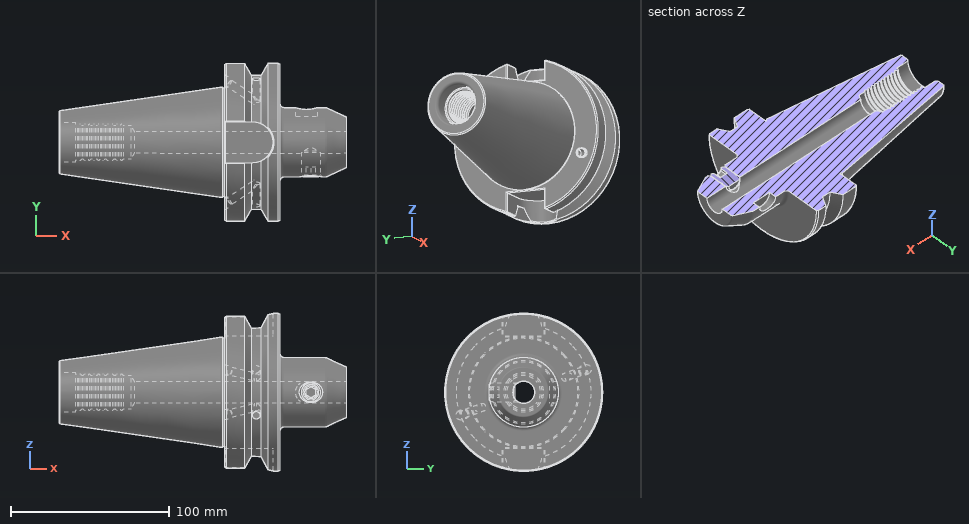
import cadquery as cq
import math

EDGE_SEARCH = 0.9

TOTAL_LENGTH = 181.8
GAUGE_X = 102.4
GAUGE_RADIUS = 34.9
TAPER_SLOPE = 7 / 24 / 2
TAPER_END_RADIUS = GAUGE_RADIUS - GAUGE_X * TAPER_SLOPE
TAPER_END_CHAMFER = 0.7
COLLAR_LENGTH = 1.0
RELIEF_DEPTH = 0.7

FLANGE_START = 104.7
FLANGE_END = 139.8
FLANGE_RADIUS = 50.0
FLANGE_EDGE_LENGTH = 1.3
FLANGE_EDGE_DEPTH = 0.7
GROOVE_X = 124.7
GROOVE_WIDTH = 6.2
GROOVE_RADIUS = 42.5
FLANK_ANGLE = 30
FLANK_LENGTH = (FLANGE_RADIUS - GROOVE_RADIUS) * math.tan(math.radians(FLANK_ANGLE))

NOSE_RADIUS = 22.0
NOSE_ROOT_FILLET = 2.5
NOSE_CONE_X = 168.9
NOSE_CONE_ANGLE = 25
NOSE_SHOULDER_FILLET = 2.7
NOSE_EDGE_FILLET = 1.0
NOSE_TIP_RADIUS = NOSE_RADIUS - (TOTAL_LENGTH - NOSE_CONE_X) * math.tan(math.radians(NOSE_CONE_ANGLE))

BORE_RADIUS = 6.9
PILOT_RADIUS = 12.5
PILOT_DEPTH = 10.5
PILOT_MOUTH_FILLET = 2.2
THREAD_RADIUS = 10.5
THREAD_MOUTH_RADIUS = 11.6
THREAD_END_X = 45.5
THREAD_PITCH = 2.9
THREAD_TURNS = 10
THREAD_GROOVE_WIDTH = 2.2
DRILL_HALF_ANGLE = 59

SLOT_HALF_WIDTH = 12.9
SLOT_FLOOR_Z = 35.5
SLOT_CENTER_X = 122.4
SLOT_CHAMFER = 0.64

COOLANT_ANGLE = 20
COOLANT_TILT = 35
COOLANT_MOUTH_RADIUS = 41.6
COOLANT_DIAMETER = 6.2
COOLANT_CORE_DIAMETER = 5.0
COOLANT_ENTRY_DEPTH = 3.6
PLUG_HOLE_DIAMETER = 4.9

SCREW_X = 159.3
SCREW_RADIUS = 6.0
SCREW_HEAD_Y = -21.8
SCREW_TIP_Y = -5.5
SCREW_CHAMFER = 1.0
COUNTERSINK_RADIUS = 7.5
SOCKET_FLATS = 6.0
SOCKET_DEPTH = 6.4
SOCKET_MOUTH_RADIUS = 4.0
BALANCE_X = 156.3
BALANCE_RADIUS = 6.9
BALANCE_FLOOR_Y = 16.4


def revolve_profile(outline):
    """Turn a closed (x, radius) outline about the X axis."""
    return outline.close().revolve(360, (0, 0, 0), (1, 0, 0))


def turned_blank():
    """Taper, flange and nose as one turned solid without a bore."""
    collar_end = GAUGE_X + COLLAR_LENGTH
    relief_radius = GAUGE_RADIUS - RELIEF_DEPTH
    edge_radius = FLANGE_RADIUS - FLANGE_EDGE_DEPTH
    groove_start = GROOVE_X - GROOVE_WIDTH / 2
    groove_end = GROOVE_X + GROOVE_WIDTH / 2
    root_radius = NOSE_RADIUS + NOSE_ROOT_FILLET
    arc_reach = NOSE_ROOT_FILLET * (1 - math.sqrt(0.5))
    outline = (
        cq.Workplane("XY")
        .moveTo(0, 0)
        .lineTo(0, TAPER_END_RADIUS - TAPER_END_CHAMFER)
        .lineTo(TAPER_END_CHAMFER, TAPER_END_RADIUS + TAPER_END_CHAMFER * TAPER_SLOPE)
        .lineTo(GAUGE_X, GAUGE_RADIUS)
        .lineTo(collar_end, GAUGE_RADIUS)
        .lineTo(collar_end + RELIEF_DEPTH, relief_radius)
        .lineTo(FLANGE_START, relief_radius)
        .lineTo(FLANGE_START, edge_radius)
        .lineTo(FLANGE_START + FLANGE_EDGE_LENGTH, FLANGE_RADIUS)
        .lineTo(groove_start - FLANK_LENGTH, FLANGE_RADIUS)
        .lineTo(groove_start, GROOVE_RADIUS)
        .lineTo(groove_end, GROOVE_RADIUS)
        .lineTo(groove_end + FLANK_LENGTH, FLANGE_RADIUS)
        .lineTo(FLANGE_END - FLANGE_EDGE_LENGTH, FLANGE_RADIUS)
        .lineTo(FLANGE_END, edge_radius)
        .lineTo(FLANGE_END, root_radius)
        .threePointArc(
            (FLANGE_END + arc_reach, NOSE_RADIUS + arc_reach),
            (FLANGE_END + NOSE_ROOT_FILLET, NOSE_RADIUS),
        )
        .lineTo(NOSE_CONE_X, NOSE_RADIUS)
        .lineTo(TOTAL_LENGTH, NOSE_TIP_RADIUS)
        .lineTo(TOTAL_LENGTH, 0)
    )
    blank = revolve_profile(outline)
    blank = blank.faces(">X").edges().fillet(NOSE_EDGE_FILLET)
    shoulder = cq.selectors.BoxSelector(
        (NOSE_CONE_X - EDGE_SEARCH, -NOSE_RADIUS, -NOSE_RADIUS),
        (NOSE_CONE_X + EDGE_SEARCH, NOSE_RADIUS, NOSE_RADIUS),
    )
    return blank.edges(shoulder).edges("%CIRCLE").fillet(NOSE_SHOULDER_FILLET)


def central_bore():
    """Pilot, tapped length with its drill cone, and the through bore."""
    mouth_radius = PILOT_RADIUS + PILOT_MOUTH_FILLET
    arc_reach = PILOT_MOUTH_FILLET * (1 - math.sqrt(0.5))
    thread_chamfer = THREAD_MOUTH_RADIUS - THREAD_RADIUS
    cone_length = (THREAD_RADIUS - BORE_RADIUS) / math.tan(math.radians(DRILL_HALF_ANGLE))
    outline = (
        cq.Workplane("XY")
        .moveTo(0, 0)
        .lineTo(0, mouth_radius)
        .threePointArc((arc_reach, PILOT_RADIUS + arc_reach), (PILOT_MOUTH_FILLET, PILOT_RADIUS))
        .lineTo(PILOT_DEPTH, PILOT_RADIUS)
        .lineTo(PILOT_DEPTH, THREAD_MOUTH_RADIUS)
        .lineTo(PILOT_DEPTH + thread_chamfer, THREAD_RADIUS)
        .lineTo(THREAD_END_X, THREAD_RADIUS)
        .lineTo(THREAD_END_X + cone_length, BORE_RADIUS)
        .lineTo(TOTAL_LENGTH, BORE_RADIUS)
        .lineTo(TOTAL_LENGTH, 0)
    )
    return revolve_profile(outline)


def thread_grooves():
    """The tapped length as a row of V rings around the thread bore."""
    first_x = PILOT_DEPTH + THREAD_PITCH
    rings = []
    for turn in range(THREAD_TURNS):
        x = first_x + turn * THREAD_PITCH
        outline = (
            cq.Workplane("XY")
            .moveTo(x - THREAD_GROOVE_WIDTH / 2, 0)
            .lineTo(x - THREAD_GROOVE_WIDTH / 2, THREAD_RADIUS)
            .lineTo(x, THREAD_MOUTH_RADIUS)
            .lineTo(x + THREAD_GROOVE_WIDTH / 2, THREAD_RADIUS)
            .lineTo(x + THREAD_GROOVE_WIDTH / 2, 0)
        )
        rings.append(revolve_profile(outline))
    return rings


def drive_slot():
    """Round-ended slot cutter on the +Z side, open towards the taper."""
    return (
        cq.Workplane("XY", origin=(0, 0, SLOT_FLOOR_Z))
        .moveTo(FLANGE_START, -SLOT_HALF_WIDTH)
        .lineTo(SLOT_CENTER_X, -SLOT_HALF_WIDTH)
        .threePointArc((SLOT_CENTER_X + SLOT_HALF_WIDTH, 0), (SLOT_CENTER_X, SLOT_HALF_WIDTH))
        .lineTo(FLANGE_START, SLOT_HALF_WIDTH)
        .close()
        .extrude(FLANGE_RADIUS - SLOT_FLOOR_Z)
    )


def bevel_slot_rims(holder):
    """Bevel the edges where both slots break through the flange's outer surface."""
    slot_end = SLOT_CENTER_X + SLOT_HALF_WIDTH
    rim_z = math.sqrt(FLANGE_RADIUS ** 2 - SLOT_HALF_WIDTH ** 2)
    wall_start = FLANGE_START + FLANGE_EDGE_LENGTH
    wall_end = GROOVE_X - GROOVE_WIDTH / 2 - FLANK_LENGTH
    wall_x = (wall_start + wall_end) / 2
    for side in (1, -1):
        spots = [
            (wall_x, SLOT_HALF_WIDTH, side * rim_z),
            (wall_x, -SLOT_HALF_WIDTH, side * rim_z),
            (slot_end, 0, side * FLANGE_RADIUS),
        ]
        for spot in spots:
            holder = holder.edges(cq.selectors.NearestToPointSelector(spot)).chamfer(SLOT_CHAMFER)
    return holder


def drive_slot_chamfer():
    """Bevel around the mouth of the +Z slot in the flange face."""
    def mouth(offset, grow):
        half_width = SLOT_HALF_WIDTH + grow
        floor = SLOT_FLOOR_Z - grow
        return (
            cq.Workplane("YZ", origin=(FLANGE_START + offset, 0, 0))
            .moveTo(-half_width, floor)
            .lineTo(half_width, floor)
            .lineTo(half_width, FLANGE_RADIUS)
            .lineTo(-half_width, FLANGE_RADIUS)
            .close()
            .wire()
            .val()
        )
    return cq.Workplane(cq.Solid.makeLoft([mouth(0, SLOT_CHAMFER), mouth(SLOT_CHAMFER, 0)], True))


def coolant_passage():
    """Leaning feed hole from the flange face and the radial plug hole that meets it."""
    tilt = math.radians(COOLANT_TILT)
    inward = cq.Vector(math.cos(tilt), -math.sin(tilt), 0)
    meeting_y = COOLANT_MOUTH_RADIUS - (GROOVE_X - FLANGE_START) * math.tan(tilt)
    mouth = cq.Vector(FLANGE_START, COOLANT_MOUTH_RADIUS, 0)
    lead = COOLANT_DIAMETER
    feed_length = (GROOVE_X - FLANGE_START) / math.cos(tilt)
    entry = cq.Solid.makeCylinder(
        COOLANT_DIAMETER / 2, COOLANT_ENTRY_DEPTH + lead, mouth - inward * lead, inward
    )
    feed = cq.Solid.makeCylinder(COOLANT_CORE_DIAMETER / 2, feed_length, mouth, inward)
    plug = cq.Solid.makeCylinder(
        PLUG_HOLE_DIAMETER / 2,
        FLANGE_RADIUS - meeting_y,
        cq.Vector(GROOVE_X, meeting_y, 0),
        cq.Vector(0, 1, 0),
    )
    passage = cq.Workplane(entry).union(cq.Workplane(feed)).union(cq.Workplane(plug))
    return passage.rotate((0, 0, 0), (1, 0, 0), COOLANT_ANGLE)


def radial_cylinder(x, radius, y_start, y_end):
    """Cylinder along Y through the axis plane at the given x."""
    return cq.Workplane("XZ", origin=(x, y_start, 0)).circle(radius).extrude(y_start - y_end)


def screw_hole():
    """Tapped hole from the -Y side into the bore, with a 45 degree countersink."""
    shaft = radial_cylinder(SCREW_X, SCREW_RADIUS, 0, -NOSE_RADIUS)
    countersink = cq.Solid.makeCone(
        COUNTERSINK_RADIUS,
        SCREW_RADIUS,
        COUNTERSINK_RADIUS - SCREW_RADIUS,
        cq.Vector(SCREW_X, -NOSE_RADIUS, 0),
        cq.Vector(0, 1, 0),
    )
    return shaft.union(cq.Workplane(countersink))


def make_holder():
    holder = turned_blank()
    for turn in (0, 180):
        holder = holder.cut(drive_slot().rotate((0, 0, 0), (1, 0, 0), turn))
    holder = bevel_slot_rims(holder)
    for turn in (0, 180):
        for cutter in (drive_slot_chamfer(), coolant_passage()):
            holder = holder.cut(cutter.rotate((0, 0, 0), (1, 0, 0), turn))
    holder = holder.cut(central_bore())
    for ring in thread_grooves():
        holder = holder.cut(ring)
    holder = holder.cut(screw_hole())
    return holder.cut(radial_cylinder(BALANCE_X, BALANCE_RADIUS, NOSE_RADIUS, BALANCE_FLOOR_Y))


def make_clamping_screw():
    """Headless screw with chamfered ends and a hexagon socket."""
    screw = radial_cylinder(SCREW_X, SCREW_RADIUS, SCREW_TIP_Y, SCREW_HEAD_Y)
    screw = screw.faces("<Y or >Y").edges().chamfer(SCREW_CHAMFER)
    socket = (
        cq.Workplane("XZ", origin=(SCREW_X, SCREW_HEAD_Y + SOCKET_DEPTH, 0))
        .polygon(6, SOCKET_FLATS, circumscribed=True)
        .extrude(SOCKET_DEPTH)
    )
    socket_mouth = cq.Solid.makeCone(
        SOCKET_MOUTH_RADIUS,
        SOCKET_FLATS / 2,
        SOCKET_MOUTH_RADIUS - SOCKET_FLATS / 2,
        cq.Vector(SCREW_X, SCREW_HEAD_Y, 0),
        cq.Vector(0, 1, 0),
    )
    return screw.cut(socket).cut(cq.Workplane(socket_mouth))


holder = make_holder()
clamping_screw = make_clamping_screw()

result = cq.Compound.makeCompound([holder.solids().val(), clamping_screw.solids().val()])